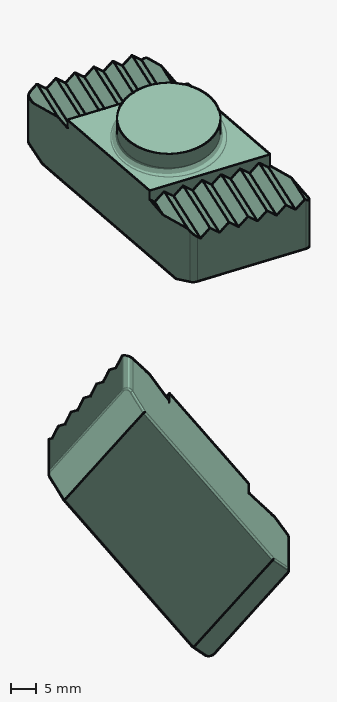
import cadquery as cq
import math

overall_length = 58.15
body_width = 24.6
skew_angle = 15.0
corner_radius = 1.2

platform_height = 17.8
platform_width = 24.65
crest_height = 16.4
tooth_pitch = 4.0
tooth_angle = 90.0
left_groove_offset = 1.3
right_groove_offset = -0.35

boss_diameter = 20.0
boss_top = 22.8
boss_fillet = 1.2

end_chamfer_height = 3.0
end_chamfer_angle = 30.0
bottom_edge_radius = 0.4

skew = math.radians(skew_angle)
skew_offset = body_width * math.tan(skew)
acute_half_angle = math.radians((90 - skew_angle) / 2)
corner_loss = corner_radius * (1 / math.tan(acute_half_angle) - 1)
side_length = overall_length + 2 * corner_loss - skew_offset
end_distance = side_length * math.cos(skew) / 2
chamfer_run = end_chamfer_height / math.tan(math.radians(end_chamfer_angle))
tooth_depth = tooth_pitch / 2 / math.tan(math.radians(tooth_angle / 2))


def align_to_ends(shape):
    """Turn a shape so that its local X is square to the slanted ends."""
    return shape.rotate((0, 0, 0), (0, 0, 1), -skew_angle)


def make_body():
    """Parallelogram block with sloped lower ends and rounded edges."""
    half_side = side_length / 2
    half_offset = skew_offset / 2
    half_width = body_width / 2
    block = (
        cq.Workplane("XY")
        .polyline([
            (-half_side - half_offset, -half_width),
            (half_side - half_offset, -half_width),
            (half_side + half_offset, half_width),
            (-half_side + half_offset, half_width),
        ])
        .close()
        .extrude(platform_height)
        .edges("|Z")
        .fillet(corner_radius)
    )
    for side in (-1, 1):
        chamfer = (
            cq.Workplane("XZ")
            .polyline([
                (side * end_distance, 0),
                (side * (end_distance - chamfer_run), 0),
                (side * end_distance, end_chamfer_height),
            ])
            .close()
            .extrude(overall_length, both=True)
        )
        block = block.cut(align_to_ends(chamfer))
    creases = block.faces("<Z").edges("not |X").vals()
    rim = block.faces("<Z").edges("|X").add(block.faces("not(|Z or #Z)").faces("%PLANE").edges())
    rounded_edges = [edge for edge in rim.vals() if not any(edge.isSame(crease) for crease in creases)]
    return block.newObject(rounded_edges).fillet(bottom_edge_radius)


def make_end_cutter(side, groove_offset):
    """Material above one toothed end, with V grooves square to that end."""
    groove_count = 2 * math.ceil(body_width / tooth_pitch) + 1
    first_crest = groove_offset - groove_count * tooth_pitch / 2
    points = [(first_crest, crest_height)]
    for index in range(groove_count):
        crest = first_crest + index * tooth_pitch
        points.append((crest + tooth_pitch / 2, crest_height - tooth_depth))
        points.append((crest + tooth_pitch, crest_height))
    points.append((first_crest + groove_count * tooth_pitch, boss_top))
    points.append((first_crest, boss_top))
    cutter = (
        cq.Workplane("YZ", origin=(side * platform_width / 2, 0, 0))
        .polyline(points)
        .close()
        .extrude(side * overall_length / 2)
    )
    return align_to_ends(cutter)


def make_boss():
    """Round boss with a concave fillet flaring onto the platform."""
    radius = boss_diameter / 2
    base = platform_height
    arc_reach = boss_fillet * (1 - math.sqrt(0.5))
    return (
        cq.Workplane("XZ")
        .moveTo(0, 0)
        .lineTo(radius, 0)
        .lineTo(radius + boss_fillet, base)
        .threePointArc((radius + arc_reach, base + arc_reach), (radius, base + boss_fillet))
        .lineTo(radius, boss_top)
        .lineTo(0, boss_top)
        .close()
        .revolve(360, (0, 0, 0), (0, 1, 0))
    )


body = make_body()
body = body.cut(make_end_cutter(-1, left_groove_offset))
body = body.cut(make_end_cutter(1, right_groove_offset))

result = body.union(make_boss())